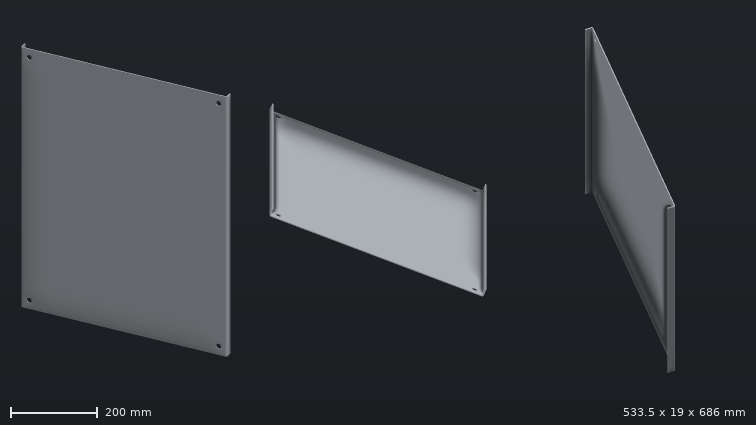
import cadquery as cq

width = 533.5
depth = 19.0
height = 686.0

sheet_thickness = 2.5
bend_inner_radius = 1.65
bend_outer_radius = bend_inner_radius + sheet_thickness

hole_diameter = 13.0
hole_side_inset = 22.0
hole_end_inset = 22.5


def channel_block(block_width, front_y, bend_radius):
    """Full-height block from front_y to the flange tips, with both front vertical edges rounded."""
    block_depth = depth / 2 - front_y
    return (
        cq.Workplane("XY")
        .box(block_width, block_depth, height)
        .translate((0, front_y + block_depth / 2, 0))
        .edges("|Z and <Y")
        .fillet(bend_radius)
    )


def make_channel():
    """Flat front panel with a side flange folded back along each vertical edge."""
    outer = channel_block(width, -depth / 2, bend_outer_radius)
    inner = channel_block(
        width - 2 * sheet_thickness, -depth / 2 + sheet_thickness, bend_inner_radius
    )
    return outer.cut(inner)


def make_mounting_holes():
    """Cylinders that pierce the panel near its four corners."""
    return (
        cq.Workplane("XZ")
        .rect(width - 2 * hole_side_inset, height - 2 * hole_end_inset, forConstruction=True)
        .vertices()
        .circle(hole_diameter / 2)
        .extrude(depth, both=True)
    )


result = make_channel().cut(make_mounting_holes())